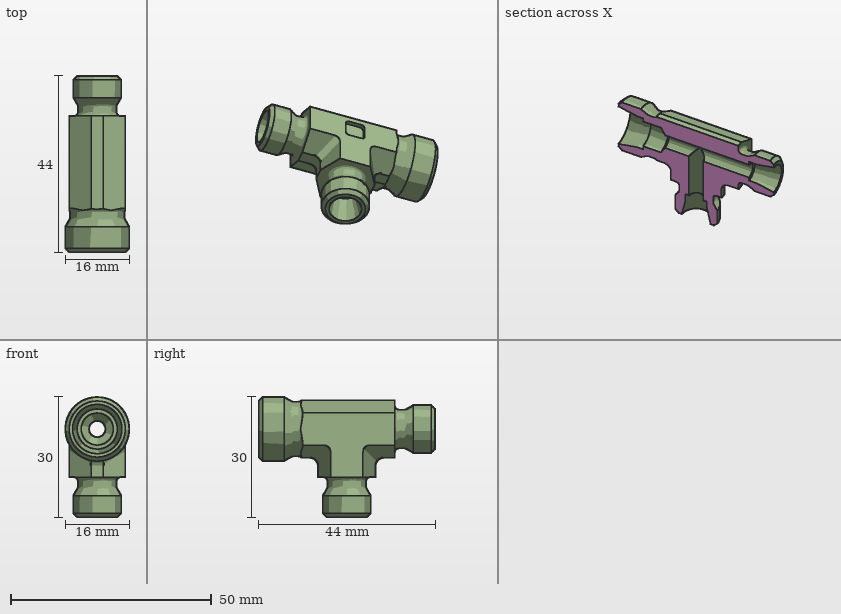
import cadquery as cq
import math

END_REACH = 22.0

ACROSS_FLATS = 14.0
ACROSS_CUT_CORNERS = 14.43
HEX_SLOPE_ANGLE = math.radians(30)
HEX_SLOPE = math.tan(HEX_SLOPE_ANGLE)
BODY_END_LARGE = 11.0
BODY_END_SMALL = 12.0
CROTCH_RADIUS = 2.0
SELECTION_MARGIN = 0.1

LARGE_THREAD_DIA = 16.0
LARGE_NECK_DIA = 13.7
SMALL_THREAD_DIA = 12.0
SMALL_NECK_DIA = 9.7
UNDERCUT_LENGTH = 4.6
UNDERCUT_RADIUS = 1.0
UNDERCUT_ANGLE = math.radians(30)
THREAD_CHAMFER = 1.0

CONE_HALF_ANGLE = math.radians(12)
SEAT_DEPTH = 7.0
LARGE_MOUTH_DIA = 12.3
LARGE_TUBE_DIA = 10.0
LARGE_BORE_DIA = 8.0
SMALL_MOUTH_DIA = 8.1
SMALL_TUBE_DIA = 6.0
BORE_DIA = 4.0
LARGE_BORE_DEPTH = 12.0
BORE_TAPER_HALF_ANGLE = math.radians(59)

RECESS_SIZE = 5.0
RECESS_CORNER_RADIUS = 1.0
RECESS_DEPTH = 1.0


def hex_bar(length):
    """Bar rising from the origin along Z, flats at +-X, corners at +-Y cut flat."""
    half_flats = ACROSS_FLATS / 2
    half_cut = ACROSS_CUT_CORNERS / 2
    corner_y = half_flats * HEX_SLOPE
    sharp_corner_y = half_flats / math.cos(HEX_SLOPE_ANGLE)
    cut_half_width = (sharp_corner_y - half_cut) / HEX_SLOPE
    quarter = [(half_flats, corner_y), (cut_half_width, half_cut)]
    upper = quarter + [(-x, y) for x, y in reversed(quarter)]
    lower = [(-x, -y) for x, y in upper]
    return cq.Workplane("XY").polyline(upper + lower).close().extrude(length)


def along_minus_y(shape):
    return shape.rotate((0, 0, 0), (1, 0, 0), 90)


def along_plus_y(shape):
    return shape.rotate((0, 0, 0), (1, 0, 0), -90)


def along_minus_z(shape):
    return shape.rotate((0, 0, 0), (0, 1, 0), 180)


def revolve_about_z(profile):
    return profile.close().revolve(360, (0, 0, 0), (0, 1, 0))


def neck_root(body_end, neck_dia):
    """Rounded flare from the body face to the neck, kept inside the hexagon outline."""
    neck_r = neck_dia / 2
    neck_start = body_end + UNDERCUT_RADIUS
    mid_offset = UNDERCUT_RADIUS * (1 - math.sqrt(0.5))
    profile = (
        cq.Workplane("XZ")
        .moveTo(0, body_end)
        .lineTo(neck_r + UNDERCUT_RADIUS, body_end)
        .threePointArc((neck_r + mid_offset, body_end + mid_offset), (neck_r, neck_start))
        .lineTo(0, neck_start)
    )
    return revolve_about_z(profile).intersect(hex_bar(neck_start))


def threaded_end(body_end, thread_dia, neck_dia):
    """Neck with its root, undercut cone and thread, pointing along +Z."""
    thread_r = thread_dia / 2
    neck_r = neck_dia / 2
    neck_start = body_end + UNDERCUT_RADIUS
    thread_start = body_end + UNDERCUT_LENGTH
    arc_rise = UNDERCUT_RADIUS * (1 - math.cos(UNDERCUT_ANGLE))
    cone_start_r = neck_r + arc_rise
    cone_start = thread_start - (thread_r - cone_start_r) / math.tan(UNDERCUT_ANGLE)
    neck_end = cone_start - UNDERCUT_RADIUS * math.sin(UNDERCUT_ANGLE)
    half_angle = UNDERCUT_ANGLE / 2
    arc_mid = (
        neck_r + UNDERCUT_RADIUS * (1 - math.cos(half_angle)),
        neck_end + UNDERCUT_RADIUS * math.sin(half_angle),
    )
    profile = (
        cq.Workplane("XZ")
        .moveTo(0, neck_start)
        .lineTo(neck_r, neck_start)
        .lineTo(neck_r, neck_end)
        .threePointArc(arc_mid, (cone_start_r, cone_start))
        .lineTo(thread_r, thread_start)
        .lineTo(thread_r, END_REACH - THREAD_CHAMFER)
        .lineTo(thread_r - THREAD_CHAMFER, END_REACH)
        .lineTo(0, END_REACH)
    )
    return revolve_about_z(profile).union(neck_root(body_end, neck_dia))


def tube_socket(mouth_dia, tube_dia):
    """Cutter for the cone and tube seat of an end pointing along +Z."""
    mouth_r = mouth_dia / 2
    tube_r = tube_dia / 2
    cone_length = (mouth_r - tube_r) / math.tan(CONE_HALF_ANGLE)
    profile = (
        cq.Workplane("XZ")
        .moveTo(0, END_REACH)
        .lineTo(mouth_r, END_REACH)
        .lineTo(tube_r, END_REACH - cone_length)
        .lineTo(tube_r, END_REACH - SEAT_DEPTH)
        .lineTo(0, END_REACH - SEAT_DEPTH)
    )
    return revolve_about_z(profile)


def large_bore():
    """Cutter for the wide bore below the large socket, tapering to the common bore."""
    wide_r = LARGE_BORE_DIA / 2
    narrow_r = BORE_DIA / 2
    taper_start = END_REACH - LARGE_BORE_DEPTH
    taper_end = taper_start - (wide_r - narrow_r) / math.tan(BORE_TAPER_HALF_ANGLE)
    profile = (
        cq.Workplane("XZ")
        .moveTo(0, END_REACH)
        .lineTo(wide_r, END_REACH)
        .lineTo(wide_r, taper_start)
        .lineTo(narrow_r, taper_end)
        .lineTo(0, taper_end)
    )
    return revolve_about_z(profile)


def bore():
    return cq.Workplane("XY").circle(BORE_DIA / 2).extrude(END_REACH)


def tee_body():
    """Run and branch bars joined, with the crotch between them filleted."""
    run = along_minus_y(hex_bar(BODY_END_LARGE)).union(along_plus_y(hex_bar(BODY_END_SMALL)))
    body = run.union(along_minus_z(hex_bar(BODY_END_SMALL))).clean()
    half_flats = ACROSS_FLATS / 2
    half_cut = ACROSS_CUT_CORNERS / 2
    corner_offset = half_flats * HEX_SLOPE
    for side in (-1, 1):
        crotch = cq.selectors.BoxSelector(
            (-half_flats, side * corner_offset, -corner_offset),
            (half_flats, side * (half_cut + SELECTION_MARGIN), -half_cut - SELECTION_MARGIN),
        )
        body = body.edges(crotch).fillet(CROTCH_RADIUS)
    return body


def marking_recess():
    return (
        cq.Workplane("YZ", origin=(-ACROSS_FLATS / 2, 0, 0))
        .rect(RECESS_SIZE, RECESS_SIZE)
        .extrude(RECESS_DEPTH)
        .edges("|X")
        .fillet(RECESS_CORNER_RADIUS)
    )


result = tee_body()

result = result.union(along_minus_y(threaded_end(BODY_END_LARGE, LARGE_THREAD_DIA, LARGE_NECK_DIA)))
for place in (along_plus_y, along_minus_z):
    result = result.union(place(threaded_end(BODY_END_SMALL, SMALL_THREAD_DIA, SMALL_NECK_DIA)))

result = result.cut(along_minus_y(tube_socket(LARGE_MOUTH_DIA, LARGE_TUBE_DIA)))
result = result.cut(along_minus_y(large_bore()))
for place in (along_plus_y, along_minus_z):
    result = result.cut(place(tube_socket(SMALL_MOUTH_DIA, SMALL_TUBE_DIA)))
for place in (along_minus_y, along_plus_y, along_minus_z):
    result = result.cut(place(bore()))

result = result.cut(marking_recess())